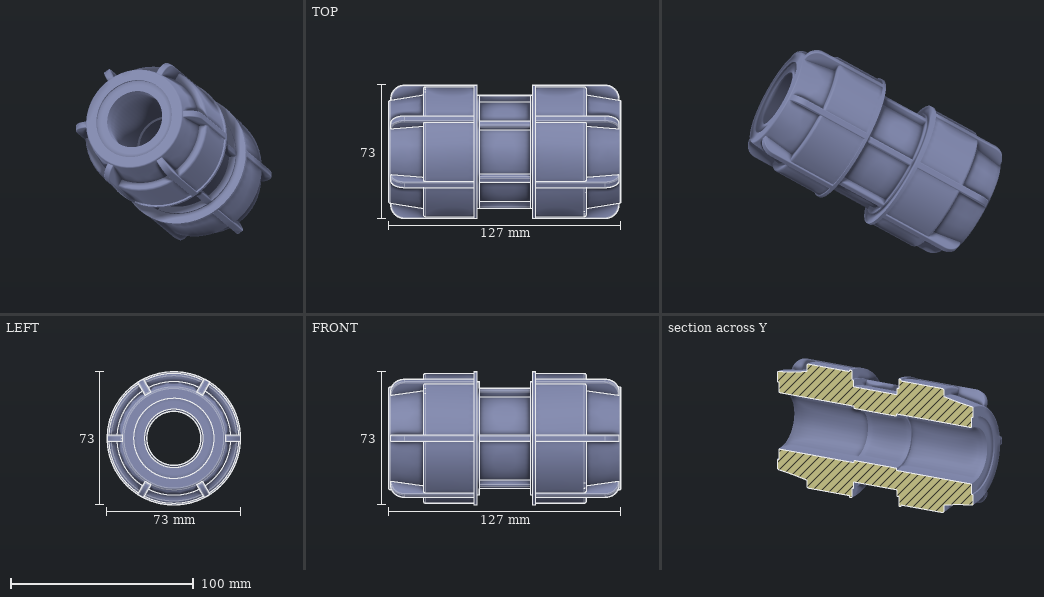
import cadquery as cq

length = 127.0
half_length = length / 2
rib_count = 6
rib_thickness = 3.7

flange_radius = 73.0 / 2
flange_inner_x = 15.1
flange_thickness = 1.8
flange_outer_x = flange_inner_x + flange_thickness
nut_radius = 35.5
nut_shoulder_x = 44.6
nut_edge_fillet = 1.3
nose_base_radius = 31.1
nose_tip_radius = 28.2
nose_rim = 0.9

nut_rib_end_x = 62.5
nut_rib_end_radius = 7.6
nut_rib_root = 25.4
nut_rib_fillet = 0.5

collar_radius = 62.1 / 2
collar_thickness = 1.1
waist_half_length = flange_inner_x - collar_thickness
waist_radius = 27.3
waist_rib_root = 25.4
waist_rib_fillet = 0.8

face_recess_radius = 44.0 / 2
face_recess_depth = 1.0
socket_radius = 32.0 / 2
stop_radius = 29.5 / 2


def cylinder(radius, start_x, end_x):
    """Solid cylinder along X between two positions."""
    return cq.Workplane("YZ", origin=(start_x, 0, 0)).circle(radius).extrude(end_x - start_x)


def both_ends(shape):
    """The shape together with its mirror image across the middle plane."""
    return shape.union(shape.mirror("YZ"))


def make_rib(outline, fillet):
    """Plate from an XY outline, centred on Z = 0, with its long edges rounded on both sides."""
    plate = outline.extrude(rib_thickness / 2, both=True)
    return plate.faces("<Z or >Z").edges("not |Y").fillet(fillet)


def make_nut():
    """One nut: flange, barrel with a rounded shoulder and a tapered nose."""
    rim_x = half_length - nose_rim
    return (
        cq.Workplane("XY")
        .moveTo(flange_inner_x, 0)
        .lineTo(flange_inner_x, flange_radius)
        .lineTo(flange_outer_x, flange_radius)
        .lineTo(flange_outer_x, nut_radius)
        .lineTo(nut_shoulder_x - nut_edge_fillet, nut_radius)
        .radiusArc((nut_shoulder_x, nut_radius - nut_edge_fillet), nut_edge_fillet)
        .lineTo(nut_shoulder_x, nose_base_radius)
        .lineTo(rim_x, nose_tip_radius)
        .radiusArc((half_length, nose_tip_radius - nose_rim), nose_rim)
        .lineTo(half_length, 0)
        .close()
        .revolve(360, (0, 0, 0), (1, 0, 0))
    )


def make_nut_rib():
    """Rib from the flange to the nose, with its outer end corner rounded off."""
    outline = (
        cq.Workplane("XY")
        .moveTo(flange_outer_x, nut_rib_root)
        .lineTo(flange_outer_x, flange_radius)
        .lineTo(nut_rib_end_x - nut_rib_end_radius, flange_radius)
        .radiusArc((nut_rib_end_x, flange_radius - nut_rib_end_radius), nut_rib_end_radius)
        .lineTo(nut_rib_end_x, nut_rib_root)
        .close()
    )
    return make_rib(outline, nut_rib_fillet)


def make_waist_rib():
    """Straight rib running from collar to collar."""
    outline = (
        cq.Workplane("XY")
        .center(0, (waist_rib_root + collar_radius) / 2)
        .rect(2 * waist_half_length, collar_radius - waist_rib_root)
    )
    return make_rib(outline, waist_rib_fillet)


def add_ribs(body, rib):
    """Join a rib to the body at every rib position around the axis."""
    for i in range(rib_count):
        body = body.union(rib.rotate((0, 0, 0), (1, 0, 0), i * 360 / rib_count))
    return body


nut = add_ribs(make_nut(), make_nut_rib())
collar = cylinder(collar_radius, waist_half_length, flange_inner_x)
waist = cylinder(waist_radius, -flange_inner_x, flange_inner_x).union(both_ends(collar))
waist = add_ribs(waist, make_waist_rib())

passage = cylinder(stop_radius, -half_length, half_length)
socket = cylinder(socket_radius, waist_half_length, half_length)
recess = cylinder(face_recess_radius, half_length - face_recess_depth, half_length)

result = waist.union(both_ends(nut)).cut(passage).cut(both_ends(socket.union(recess)))